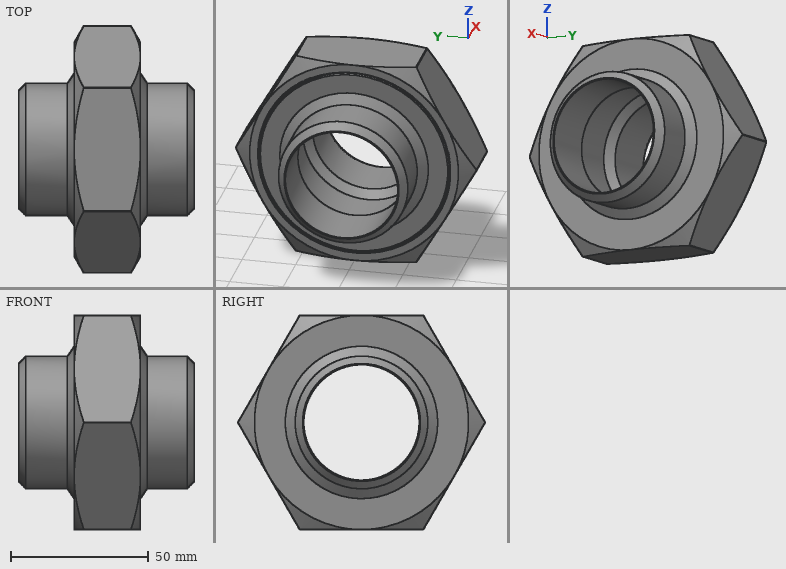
import cadquery as cq
import math

overall_length = 64.0
half_length = overall_length / 2

across_flats = 78.0
side_count = 6
across_corners = across_flats / math.cos(math.pi / side_count)
corner_diameter = 89.91
nut_length = 24.1
nut_centre = 0.3
nut_chamfer_angle = 30.0
nut_left = nut_centre - nut_length / 2
nut_right = nut_centre + nut_length / 2

pipe_radius = 24.15
bore_radius = 21.0
end_land = 0.45
bevel = pipe_radius - bore_radius - end_land
collar_radius = 27.75
collar_length = 2.45

gap_outer_radius = 36.0
gap_inner_radius = 35.5
gap_depth = 1.0
gap_chamfer = 0.5

chamber_radius = 24.0
chamber_length = 24.0
chamber_cone = chamber_radius - bore_radius
chamber_left = nut_centre - chamber_length / 2
chamber_right = nut_centre + chamber_length / 2


def revolve_about_x(points):
    """Revolve a closed (x, radius) outline about the X axis."""
    return cq.Workplane("XY").polyline(points).close().revolve(360, (0, 0, 0), (1, 0, 0))


def make_nut():
    """Hexagon with flats at top and bottom, its corners chamfered at both ends."""
    face_radius = across_flats / 2
    corner_radius = corner_diameter / 2
    hexagon = (
        cq.Workplane("YZ", origin=(nut_left, 0, 0))
        .polygon(side_count, across_corners)
        .extrude(nut_length)
    )
    chamfer_length = (corner_radius - face_radius) * math.tan(math.radians(nut_chamfer_angle))
    envelope = revolve_about_x([
        (nut_left, 0),
        (nut_left, face_radius),
        (nut_left + chamfer_length, corner_radius),
        (nut_right - chamfer_length, corner_radius),
        (nut_right, face_radius),
        (nut_right, 0),
    ])
    return hexagon.intersect(envelope)


def make_body():
    """Bevelled weld ends with flared collars running through the nut."""
    return revolve_about_x([
        (-half_length, 0),
        (-half_length, pipe_radius - bevel),
        (-half_length + bevel, pipe_radius),
        (nut_left - collar_length, pipe_radius),
        (nut_left, collar_radius),
        (nut_right, collar_radius),
        (nut_right + collar_length, pipe_radius),
        (half_length - bevel, pipe_radius),
        (half_length, pipe_radius - bevel),
        (half_length, 0),
    ])


def make_bore():
    """Through bore that opens into the wider chamber."""
    return revolve_about_x([
        (-half_length, 0),
        (-half_length, bore_radius),
        (chamber_left, bore_radius),
        (chamber_left + chamber_cone, chamber_radius),
        (chamber_right - chamber_cone, chamber_radius),
        (chamber_right, bore_radius),
        (half_length, bore_radius),
        (half_length, 0),
    ])


def make_ring_gap():
    """Narrow ring groove in the left face, chamfered on its inner edge."""
    return revolve_about_x([
        (nut_left, gap_inner_radius - gap_chamfer),
        (nut_left + gap_chamfer, gap_inner_radius),
        (nut_left + gap_depth, gap_inner_radius),
        (nut_left + gap_depth, gap_outer_radius),
        (nut_left, gap_outer_radius),
    ])


result = make_nut().union(make_body()).cut(make_bore()).cut(make_ring_gap())